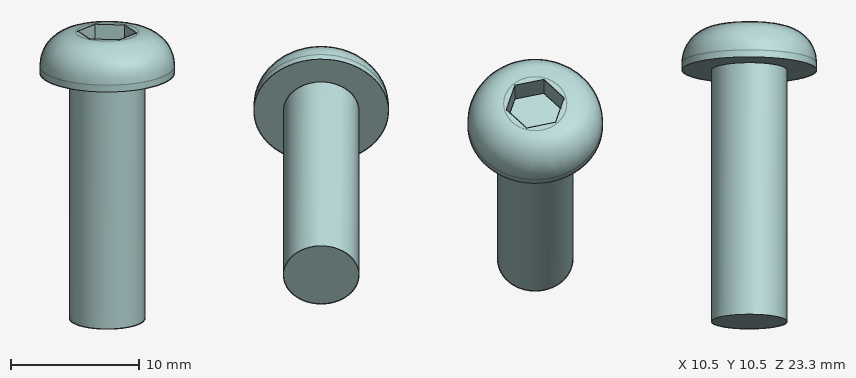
import cadquery as cq
import math

total_height = 23.3
head_height = 3.3
head_diameter = 10.5
shank_diameter = 5.9
rim_height = 0.55
crown_diameter = 4.92
socket_across_flats = 4.0
socket_depth = 2.07

shank_length = total_height - head_height
shank_radius = shank_diameter / 2
head_radius = head_diameter / 2
crown_radius = crown_diameter / 2
rim_top = shank_length + rim_height

dome_width = head_radius - crown_radius
dome_rise = total_height - rim_top
dome_radius = (dome_width**2 + dome_rise**2) / (2 * dome_width)
dome_center_x = head_radius - dome_radius
mid_angle = math.atan2(dome_rise, crown_radius - dome_center_x) / 2
dome_middle = (
    dome_center_x + dome_radius * math.cos(mid_angle),
    rim_top + dome_radius * math.sin(mid_angle),
)

body = (
    cq.Workplane("XZ")
    .lineTo(shank_radius, 0)
    .lineTo(shank_radius, shank_length)
    .lineTo(head_radius, shank_length)
    .lineTo(head_radius, rim_top)
    .threePointArc(dome_middle, (crown_radius, total_height))
    .lineTo(0, total_height)
    .close()
    .revolve(360, (0, 0), (0, 1))
)

socket_corner_diameter = socket_across_flats / math.cos(math.pi / 6)
socket = (
    cq.Workplane("XY", origin=(0, 0, total_height - socket_depth))
    .transformed(rotate=(0, 0, 90))
    .polygon(6, socket_corner_diameter)
    .extrude(socket_depth)
)

result = body.cut(socket)